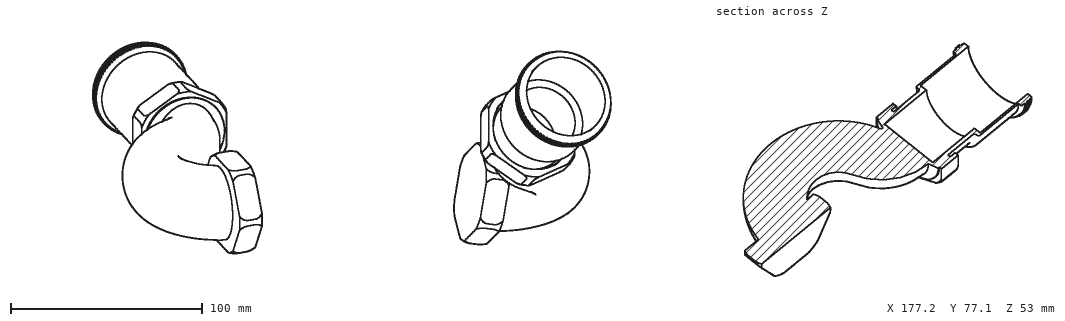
import cadquery as cq
import math

overall_length = 177.2

rim_length = 8.2
rim_diameter = 50.3
rim_rounding = 0.7
body_diameter = 46.0
body_end = 38.0
step_rounding = 0.9
step_fillet = 1.2
pipe_diameter = 40.0

knurl_diameter = 51.7
knurl_rows = [(2.5, 0.9), (4.0, 1.6)]
knurl_count = 80
knurl_tooth_share = 0.5

bore_diameter = 43.5
bore_depth = 35.5
inner_bore_diameter = 35.0

nut_across_flats = 47.8
nut_thickness = 12.5
socket_nut_start = 53.9
socket_nut_diameter = 53.0
socket_nut_rounding = (2.0, 0.9)
nut_recess_diameter = 42.9
nut_recess_depth = 3.5
outlet_nut_diameter = 53.5
outlet_nut_rounding = (4.5, 1.0)
outlet_nut_back = 0.2

collar_diameter = 44.8
collar_land = 0.9
collar_length = 2.5

bend_width = 33.5
bend_height = pipe_diameter
bend_angle = 71.0
first_bend_radius = 18.0

socket_nut_end = socket_nut_start + nut_thickness
collar_land_end = socket_nut_end + collar_land
bend_start = socket_nut_end + collar_length
outlet_x = overall_length - outlet_nut_diameter / 2

turn = math.radians(bend_angle)
second_bend_radius = (outlet_x - bend_start - first_bend_radius * math.sin(turn)) / (1 + math.sin(turn))


def make_socket():
    """Revolved rim, body, pipe and collar land."""
    rim_radius = rim_diameter / 2
    body_radius = body_diameter / 2
    pipe_radius = pipe_diameter / 2
    collar_radius = collar_diameter / 2
    return (
        cq.Workplane("XY")
        .lineTo(0, rim_radius - rim_rounding)
        .radiusArc((rim_rounding, rim_radius), rim_rounding)
        .lineTo(rim_length - rim_rounding, rim_radius)
        .radiusArc((rim_length, rim_radius - rim_rounding), rim_rounding)
        .lineTo(rim_length, body_radius)
        .lineTo(body_end - step_rounding, body_radius)
        .radiusArc((body_end, body_radius - step_rounding), step_rounding)
        .lineTo(body_end, pipe_radius + step_fillet)
        .radiusArc((body_end + step_fillet, pipe_radius), -step_fillet)
        .lineTo(socket_nut_end, pipe_radius)
        .lineTo(socket_nut_end, collar_radius)
        .lineTo(collar_land_end, collar_radius)
        .lineTo(collar_land_end, 0)
        .close()
        .revolve(360, (0, 0, 0), (1, 0, 0))
    )


def make_collar_taper():
    """Transition from the round collar to the oval section of the bend."""
    return (
        cq.Workplane("YZ", origin=(collar_land_end, 0, 0))
        .circle(collar_diameter / 2)
        .workplane(offset=bend_start - collar_land_end)
        .ellipse(bend_width / 2, bend_height / 2)
        .loft(ruled=True)
    )


def make_knurl_row(start, length):
    """Toothed ring with straight axial teeth."""
    root_radius = rim_diameter / 2
    tip_radius = knurl_diameter / 2
    pitch = 2 * math.pi / knurl_count
    half_tooth = pitch * knurl_tooth_share / 2
    outline = []
    for tooth in range(knurl_count):
        middle = tooth * pitch
        corners = [
            (root_radius, middle - half_tooth),
            (tip_radius, middle - half_tooth),
            (tip_radius, middle + half_tooth),
            (root_radius, middle + half_tooth),
        ]
        outline += [(radius * math.cos(angle), radius * math.sin(angle)) for radius, angle in corners]
    return (
        cq.Workplane("YZ", origin=(start, 0, 0))
        .polyline(outline)
        .close()
        .circle(bore_diameter / 2)
        .extrude(length)
    )


def make_nut(corner_diameter, rounding):
    """Hexagonal nut along +Z with two corners on X, its corners turned down and rounded at both ends."""
    rounding_length, rounding_drop = rounding
    corner_radius = corner_diameter / 2
    end_radius = corner_radius - rounding_drop
    arc_radius = (rounding_length**2 + rounding_drop**2) / (2 * rounding_drop)
    across_corners = nut_across_flats / math.cos(math.pi / 6)
    hexagon = cq.Workplane("XY").polygon(6, across_corners).extrude(nut_thickness)
    turned_blank = (
        cq.Workplane("XZ")
        .lineTo(end_radius, 0)
        .radiusArc((corner_radius, rounding_length), -arc_radius)
        .lineTo(corner_radius, nut_thickness - rounding_length)
        .radiusArc((end_radius, nut_thickness), -arc_radius)
        .lineTo(0, nut_thickness)
        .close()
        .revolve(360, (0, 0, 0), (0, 1, 0))
    )
    return hexagon.intersect(turned_blank)


def make_bend():
    """Two oval torus sections that form the S-bend and end inside the outlet nut."""
    first = (
        cq.Workplane("YZ", origin=(bend_start, 0, 0))
        .ellipse(bend_width / 2, bend_height / 2)
        .revolve(bend_angle, (-first_bend_radius, 0, 0), (-first_bend_radius, -1, 0))
    )
    second_center_y = (first_bend_radius + second_bend_radius) * math.cos(turn) - first_bend_radius
    second = (
        cq.Workplane("XZ", origin=(outlet_x, second_center_y, 0))
        .ellipse(bend_width / 2, bend_height / 2)
        .revolve(90 + bend_angle, (-second_bend_radius, 0, 0), (-second_bend_radius, -1, 0))
    )
    return first.union(second)


def make_bores():
    """Stepped blind bore: the socket bore, then a narrower one to the back of the socket nut."""
    socket_bore = cq.Workplane("YZ").circle(bore_diameter / 2).extrude(bore_depth)
    inner_bore = cq.Workplane("YZ").circle(inner_bore_diameter / 2).extrude(socket_nut_end)
    return socket_bore.union(inner_bore)


socket_nut = (
    make_nut(socket_nut_diameter, socket_nut_rounding)
    .rotate((0, 0, 0), (0, 1, 0), 90)
    .translate((socket_nut_start, 0, 0))
    .cut(
        cq.Workplane("YZ", origin=(socket_nut_start, 0, 0))
        .circle(nut_recess_diameter / 2)
        .extrude(nut_recess_depth)
    )
)

outlet_nut = (
    make_nut(outlet_nut_diameter, outlet_nut_rounding)
    .rotate((0, 0, 0), (1, 0, 0), 90)
    .translate((outlet_x, outlet_nut_back, 0))
)

result = make_socket().union(socket_nut).union(make_collar_taper()).union(make_bend()).union(outlet_nut)
for row_start, row_length in knurl_rows:
    result = result.union(make_knurl_row(row_start, row_length))
result = result.cut(make_bores())